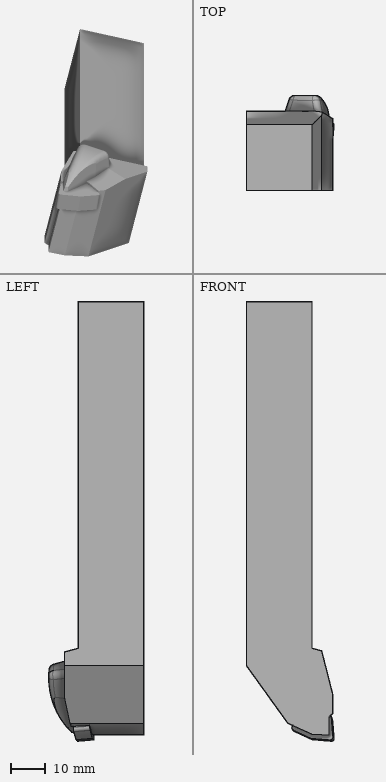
import cadquery as cq
import math


total_length = 127.0
total_height = 27.56
reach = 25.41
shank_size = 19.05

head_height = 23.0
head_width = 25.0
shoulder_z = 26.9
shoulder_angle = 15.0
shoulder_end_x = 21.8
flank_bottom_z = 13.6
relief_top_z = 8.0
relief_depth = 1.15
bottom_z = 1.8
bottom_bend = (19.0, 2.05)
back_bevel_bottom = (12.0, 5.2)
back_bevel_top_z = 21.9

slope_start = (6.5, 12.8)
slope_line_angle = 45.0
slope_fall_angle = 10.0

inscribed_radius = 9.525 / 2
insert_thickness = 4.76
corner_angle = 80.0
corner_count = 3
nose_radius = 0.79
rake_angle = 5.0
nose_height = 19.05

clamp_base_y = 19.0
clamp_draft = 12.0
clamp_back_left = (8.9, 20.6)
clamp_back_right = (22.3, 24.8)
clamp_right_bend = (24.5, 8.5)
clamp_nose_right = (24.2, 2.2)
clamp_nose_left = (22.8, 2.2)
clamp_left_bend = (14.7, 11.9)
clamp_corner_radius = 1.8
clamp_edge_radius = 1.8
crown_radius = 22.0
crown_allowance = 1.0
crown_z = 18.4

clearance = 10.0


def tan_deg(angle):
    return math.tan(math.radians(angle))


def polar(radius, angle):
    return (radius * math.cos(math.radians(angle)), radius * math.sin(math.radians(angle)))


def extrude_along_y(outline, y_start, y_end, taper=0.0):
    """Prism with an outline of (X, Z) points, between two heights; a taper narrows it toward the far end."""
    plane = cq.Workplane("XZ", origin=(0, y_start, 0))
    return plane.polyline(outline).close().extrude(y_start - y_end, taper=taper)


half_corner = math.radians(corner_angle / 2)
sector_angle = 360 / corner_count
corner_distance = inscribed_radius / math.sin(half_corner)
bend_distance = inscribed_radius / math.cos(math.radians(sector_angle / 2 - 90) + half_corner)
nose_center_distance = corner_distance - nose_radius / math.sin(half_corner)

rake_slope = tan_deg(rake_angle)
nose_direction = cq.Vector(1, -2 * rake_slope, -1).normalized()
rake_normal = cq.Vector(rake_slope, 1, -rake_slope).normalized()
nose_extent = nose_center_distance * nose_direction.x + nose_radius * math.sqrt(1 - rake_normal.x**2)
rake_plane = cq.Plane(
    origin=(reach - nose_extent, nose_height + 2 * rake_slope * nose_extent, nose_extent),
    xDir=nose_direction,
    normal=rake_normal,
)


def trigon_prism(height):
    """Rounded trigon on the rake plane; a negative height goes down into the seat."""
    outline = []
    for corner in range(corner_count):
        outline.append(polar(corner_distance, sector_angle * corner))
        outline.append(polar(bend_distance, sector_angle * (corner + 0.5)))
    prism = cq.Workplane(rake_plane).polyline(outline).close().extrude(height)
    for corner in range(corner_count):
        x, y = polar(corner_distance, sector_angle * corner)
        edge_middle = rake_plane.toWorldCoords((x, y, height / 2)).toTuple()
        prism = prism.edges(cq.selectors.NearestToPointSelector(edge_middle)).fillet(nose_radius)
    return prism


def make_shank():
    plane = cq.Workplane("XY", origin=(0, 0, back_bevel_top_z))
    return plane.rect(shank_size, shank_size, centered=False).extrude(total_length - back_bevel_top_z)


def make_head():
    outline = [
        (0, shoulder_z),
        (shoulder_end_x, shoulder_z),
        (shoulder_end_x, shoulder_z - (shoulder_end_x - shank_size) * tan_deg(shoulder_angle)),
        (head_width, flank_bottom_z),
        (head_width, relief_top_z),
        (head_width - relief_depth, relief_top_z - relief_depth),
        (head_width - relief_depth, bottom_z),
        bottom_bend,
        back_bevel_bottom,
        (0, back_bevel_top_z),
    ]
    return extrude_along_y(outline, 0, head_height)


def make_shoulder_spaces():
    """Wedges above the sloped shoulders on the +X and +Y sides; the two slopes meet in a mitre."""
    outer = shank_size + clearance
    wedge = [
        (shank_size, shoulder_z),
        (outer, shoulder_z),
        (outer, shoulder_z - clearance * tan_deg(shoulder_angle)),
    ]
    x_side = extrude_along_y(wedge, 0, outer)
    y_side = cq.Workplane("YZ").polyline(wedge).close().extrude(outer)
    return x_side, y_side


def make_top_slope_space():
    """Block above the sloped part of the head top."""
    along_x, along_z = polar(1, slope_line_angle)
    fall = tan_deg(slope_fall_angle)
    plane = cq.Plane(
        origin=(slope_start[0], head_height, slope_start[1]),
        xDir=(along_x, 0, along_z),
        normal=(fall * along_z, 1, -fall * along_x),
    )
    block_size = 4 * reach
    return cq.Workplane(plane).rect(block_size, block_size).extrude(clearance)


def make_clamp():
    """Tapered clamp finger with a cylindrical crown, rounded along its rim except on the narrow nose."""
    plan = [
        clamp_back_left,
        clamp_back_right,
        clamp_right_bend,
        clamp_nose_right,
        clamp_nose_left,
        clamp_left_bend,
    ]
    clamp = extrude_along_y(plan, clamp_base_y, total_height + crown_allowance, clamp_draft)
    for x, z in (clamp_back_left, clamp_back_right):
        upright_edge = cq.selectors.NearestToPointSelector((x, total_height, z))
        clamp = clamp.edges(upright_edge).fillet(clamp_corner_radius)

    crown_plane = cq.Workplane("ZY", origin=(0, total_height - crown_radius, crown_z))
    crown_cylinder = crown_plane.circle(crown_radius).extrude(-reach)
    clamp = clamp.intersect(crown_cylinder)

    crown_point = (clamp_left_bend[0], total_height, clamp_left_bend[1])
    crown_face = clamp.faces(cq.selectors.NearestToPointSelector(crown_point))
    wide_part = cq.selectors.BoxSelector((0, 0, clamp_right_bend[1]), (reach, total_height, shoulder_z))
    return crown_face.edges().edges(wide_part).fillet(clamp_edge_radius)


def make_holder(insert):
    head = make_head()
    for space in make_shoulder_spaces():
        head = head.cut(space)
    head = head.cut(make_top_slope_space())
    head = head.cut(trigon_prism(clearance))
    return make_shank().union(head).union(make_clamp()).cut(insert)


insert = trigon_prism(-insert_thickness)
holder = make_holder(insert)

result = cq.Compound.makeCompound([holder.val(), insert.val()])